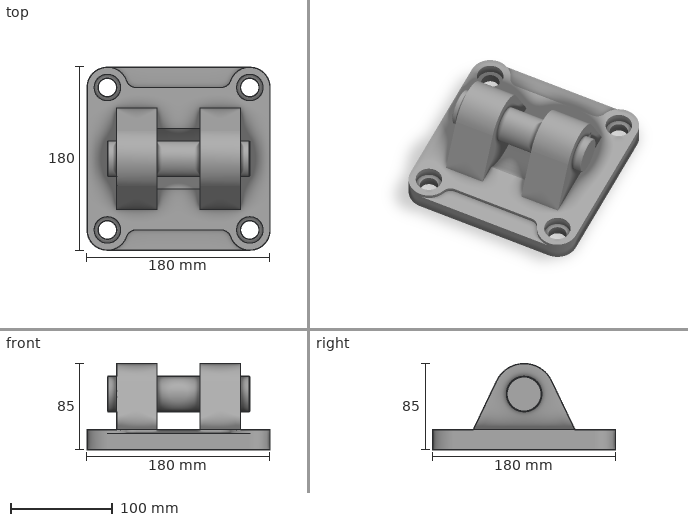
import cadquery as cq
import math

plate_side = 180.0
plate_thickness = 20.0
corner_radius = 20.0
hole_offset = plate_side / 2 - corner_radius
hole_diameter = 18.0
counterbore_diameter = 26.0
counterbore_depth = 10.0

step_depth = 4.0
step_blend_radius = 10.0

pin_height = 55.0
lug_top_radius = 30.0
lug_foot_length = 100.0
lug_width = 40.0
lug_gap = 42.0
trough_radius = 46.0

pin_diameter = 35.0
pin_length = 140.0
pin_chamfer = 0.75

slot_height = 6.0
slot_reach = 26.5


def x_cylinder(radius, length):
    """Cylinder on the pin axis, centred on X = 0."""
    plane = cq.Workplane("YZ", origin=(-length / 2, 0, pin_height))
    return plane.circle(radius).extrude(length)


def make_plate():
    plate = cq.Workplane("XY").rect(plate_side, plate_side).extrude(plate_thickness)
    plate = plate.edges("|Z").fillet(corner_radius)
    return (
        plate.faces(">Z").workplane()
        .rect(2 * hole_offset, 2 * hole_offset, forConstruction=True)
        .vertices()
        .cboreHole(hole_diameter, counterbore_diameter, counterbore_depth)
    )


def polar_point(centre, radius, angle):
    """Point on a circle, as an (X, Y) pair."""
    return (centre[0] + radius * math.cos(angle), centre[1] + radius * math.sin(angle))


def mirrored(point):
    """The same point on the -X side."""
    return (-point[0], point[1])


def make_edge_step():
    """Cutter for the step on the +Y edge, running between the two corner pads."""
    centre_distance = corner_radius + step_blend_radius
    blend_run = math.sqrt(centre_distance**2 - step_blend_radius**2)
    pad_centre = (hole_offset, hole_offset)
    blend_centre = (hole_offset - blend_run, hole_offset + step_blend_radius)

    edge_angle = math.pi / 2
    meeting_angle = math.pi - math.asin(step_blend_radius / centre_distance)
    blend_start_angle = meeting_angle - math.pi
    blend_end_angle = -math.pi / 2

    pad_start = polar_point(pad_centre, corner_radius, edge_angle)
    pad_middle = polar_point(pad_centre, corner_radius, (edge_angle + meeting_angle) / 2)
    meeting_point = polar_point(pad_centre, corner_radius, meeting_angle)
    blend_middle_angle = (blend_start_angle + blend_end_angle) / 2
    blend_middle = polar_point(blend_centre, step_blend_radius, blend_middle_angle)
    blend_end = polar_point(blend_centre, step_blend_radius, blend_end_angle)

    return (
        cq.Workplane("XY", origin=(0, 0, plate_thickness - step_depth))
        .moveTo(*pad_start)
        .threePointArc(pad_middle, meeting_point)
        .threePointArc(blend_middle, blend_end)
        .lineTo(*mirrored(blend_end))
        .threePointArc(mirrored(blend_middle), mirrored(meeting_point))
        .threePointArc(mirrored(pad_middle), mirrored(pad_start))
        .close()
        .extrude(step_depth)
    )


def make_lug(start_x):
    """Lug with flanks tangent to its rounded top."""
    half_foot = lug_foot_length / 2
    rise = pin_height - plate_thickness
    foot_distance = math.hypot(half_foot, rise)
    flank_angle = math.acos(lug_top_radius / foot_distance) - math.atan2(rise, half_foot)
    tangent_y = lug_top_radius * math.cos(flank_angle)
    tangent_z = pin_height + lug_top_radius * math.sin(flank_angle)
    return (
        cq.Workplane("YZ", origin=(start_x, 0, 0))
        .moveTo(-half_foot, plate_thickness)
        .lineTo(half_foot, plate_thickness)
        .lineTo(tangent_y, tangent_z)
        .threePointArc((0, pin_height + lug_top_radius), (-tangent_y, tangent_z))
        .close()
        .extrude(lug_width)
    )


def make_slot():
    """Cutter from the pin axis to a rounded end toward -Y, through the -X lug."""
    lug_outer_x = -lug_gap / 2 - lug_width
    end_radius = slot_height / 2
    round_centre_y = end_radius - slot_reach
    return (
        cq.Workplane("YZ", origin=(lug_outer_x, 0, pin_height))
        .moveTo(0, end_radius)
        .lineTo(round_centre_y, end_radius)
        .threePointArc((-slot_reach, 0), (round_centre_y, -end_radius))
        .lineTo(0, -end_radius)
        .close()
        .extrude(lug_width)
    )


def make_pin():
    return x_cylinder(pin_diameter / 2, pin_length).faces("<X or >X").chamfer(pin_chamfer)


edge_step = make_edge_step()
body = make_plate().cut(edge_step).cut(edge_step.mirror("XZ"))
body = body.cut(x_cylinder(trough_radius, lug_gap))
for lug_start_x in (-lug_gap / 2 - lug_width, lug_gap / 2):
    body = body.union(make_lug(lug_start_x))
body = body.cut(make_slot())

result = body.union(make_pin())